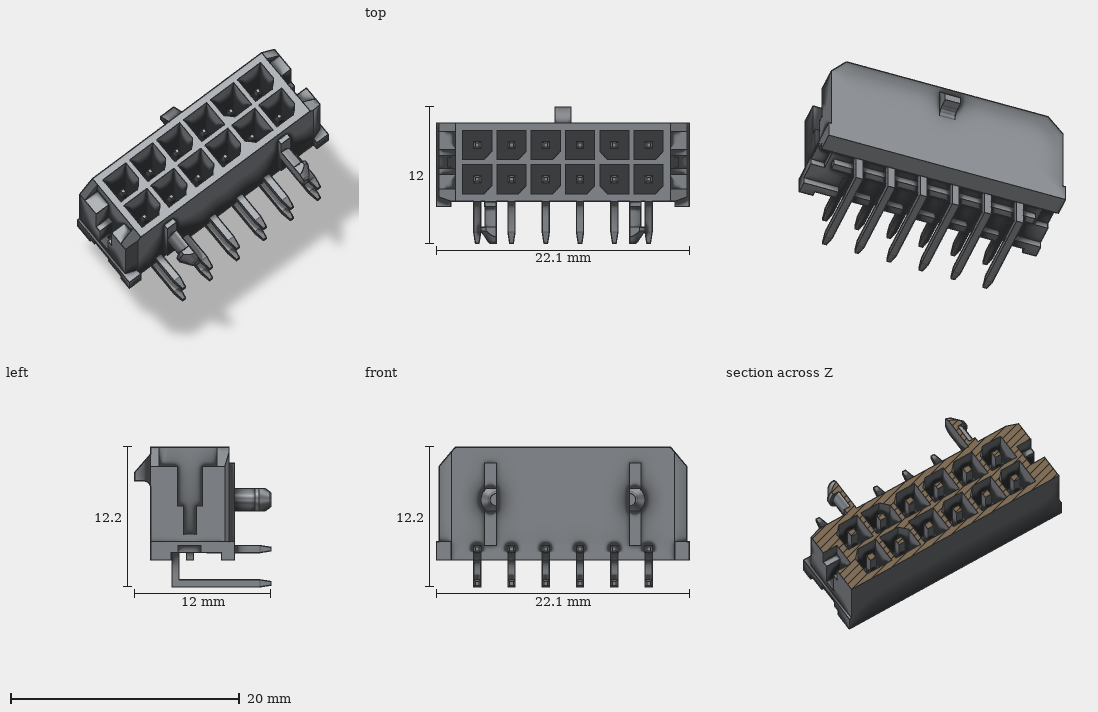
import cadquery as cq


columns = 6
pitch = 3.0
column_xs = [(i - (columns - 1) / 2) * pitch for i in range(columns)]
front_row_y = -pitch / 2
rear_row_y = pitch / 2

core_half_x = 9.42
body_half_x = 10.84
body_half_y = 3.435
body_top = 9.88

shoulder_z = 8.2
rear_plate_y = 2.7
front_plate_y = -2.37
corner_x = 9.77
corner_y = -3.05
wide_slot_width = 2.2
wide_slot_bottom = 4.74
narrow_slot_width = 1.13
narrow_slot_bottom = 2.27

flange_half_x = 11.075
flange_inner_x = 9.8
flange_front_y = -3.9
flange_top = 1.61
foot_height = 0.66
rear_foot_y = 1.65
front_foot_y = -2.75
notch_width = 2.0
notch_center_y = 0.03
notch_top = 1.28
middle_rib_width = 0.62

pocket_outer_x = 10.1
pocket_outer_width = 0.83

cavity_size = 2.55
cavity_key_x = 0.68
cavity_key_y = 0.72
cavity_floor = 2.5
RIGHT, LEFT, PLAIN = 1, -1, 0
rear_keys = [RIGHT, RIGHT, RIGHT, PLAIN, LEFT, RIGHT]
front_keys = [RIGHT, RIGHT, RIGHT, RIGHT, LEFT, RIGHT]

pin_size = 0.64
pin_tip_size = 0.33
pin_taper = 1.0
pin_end_y = -7.11
contact_top = 7.5
upper_tail_z = 0.96
lower_tail_z = upper_tail_z - pitch
rear_leg_y = 1.27

peg_x = 5.83
standoff_width = 1.02
standoff_bottom = 1.27
standoff_top = 8.48
peg_z = 5.28
peg_radius = 1.0
barb_radius = 1.34
barb_start_y = -5.69
barb_cone_y = -6.02
barb_tip_y = -6.96
barb_tip_radius = 0.71
barb_end_radius = 0.54

latch_width = 1.43
latch_tip_y = 4.84
latch_top = 9.29
latch_tip_top = 7.67
latch_bottom = 6.93
latch_fillet = 0.64


def box(x0, x1, y0, y1, z0, z1):
    """Axis-aligned box between the given limits."""
    return cq.Workplane("XY").box(x1 - x0, y1 - y0, z1 - z0, centered=False).translate((x0, y0, z0))


def both_ends(solid):
    """The solid together with its mirror image at the other X end."""
    return solid.union(solid.mirror("YZ"))


def make_ear():
    """Grooved block at the -X end: sloped outer plates, flat shoulders and a stepped slot."""
    outline = [
        (-core_half_x, body_half_y),
        (-body_half_x, body_half_y),
        (-body_half_x, corner_y),
        (-corner_x, -body_half_y),
        (-core_half_x, -body_half_y),
    ]
    ear = cq.Workplane("XY").polyline(outline).close().extrude(body_top)
    slope = (
        cq.Workplane("XZ")
        .moveTo(-core_half_x, body_top)
        .lineTo(-body_half_x, body_top)
        .lineTo(-body_half_x, shoulder_z)
        .close()
        .extrude(body_half_y, both=True)
    )
    ear = ear.cut(slope)
    end_x = (-body_half_x, -core_half_x)
    ear = ear.cut(box(*end_x, front_plate_y, rear_plate_y, shoulder_z, body_top))
    for width, bottom in ((wide_slot_width, wide_slot_bottom), (narrow_slot_width, narrow_slot_bottom)):
        ear = ear.cut(box(*end_x, -width / 2, width / 2, bottom, body_top))
    return ear


def make_floor_pocket():
    """T-shaped blind pocket sunk into the floor of the narrow slot at the -X end."""
    stem_half = pocket_outer_width / 2
    head_half = narrow_slot_width / 2
    depth = (flange_top, narrow_slot_bottom)
    stem = box(-pocket_outer_x, -core_half_x, -stem_half, stem_half, *depth)
    head = box(-flange_inner_x, -core_half_x, -head_half, head_half, *depth)
    return stem.union(head)


def make_cavity(x, y, key):
    """Square contact cavity; a key of RIGHT or LEFT cuts off that front corner."""
    half = cavity_size / 2
    if key == PLAIN:
        outline = [(-half, -half), (half, -half), (half, half), (-half, half)]
    else:
        outline = [
            (-key * half, -half),
            (key * (half - cavity_key_x), -half),
            (key * half, -half + cavity_key_y),
            (key * half, half),
            (-key * half, half),
        ]
    cavity = cq.Workplane("XY").polyline(outline).close().extrude(body_top - cavity_floor)
    return cavity.translate((x, y, cavity_floor))


def make_underside_recess():
    """Channel under the housing, open at both ends, with a slot through the front wall per column."""
    recess = box(-flange_half_x, flange_half_x, front_foot_y, rear_foot_y, 0, foot_height)
    half_rib = middle_rib_width / 2
    recess = recess.cut(box(-core_half_x, core_half_x, -half_rib, half_rib, 0, foot_height))
    for x in column_xs:
        recess = recess.union(
            box(x - pin_size / 2, x + pin_size / 2, -body_half_y, front_foot_y, 0, upper_tail_z)
        )
    return recess


def make_pin(length):
    """Square pin along +Z from the origin, tapered to a small square end."""
    straight = cq.Workplane("XY").rect(pin_size, pin_size).extrude(length - pin_taper)
    taper = (
        straight.faces(">Z")
        .workplane()
        .rect(pin_size, pin_size)
        .workplane(offset=pin_taper)
        .rect(pin_tip_size, pin_tip_size)
        .loft(combine=False)
    )
    return straight.union(taper)


def make_tail(x, start_y, z):
    """Pin lying along -Y from start_y to the common pin end."""
    tail = make_pin(start_y - pin_end_y).rotate((0, 0, 0), (1, 0, 0), 90)
    return tail.translate((x, start_y, z))


def make_column_pins(x):
    """Both contacts of a column with their tails and the rear leg."""
    half = pin_size / 2
    leg_back_y = rear_leg_y + half
    contact = make_pin(contact_top - cavity_floor)
    return [
        contact.translate((x, front_row_y, cavity_floor)),
        contact.translate((x, rear_row_y, cavity_floor)),
        make_tail(x, front_row_y, upper_tail_z),
        make_tail(x, leg_back_y, lower_tail_z),
        box(x - half, x + half, rear_leg_y - half, leg_back_y, lower_tail_z - half, upper_tail_z),
    ]


def make_standoff_and_peg():
    """Rib on the front wall at the -X end with a half-round barbed peg, flat toward the middle."""
    rib = box(
        -peg_x - standoff_width, -peg_x, flange_front_y, -body_half_y, standoff_bottom, standoff_top
    )
    profile = [
        (0, -body_half_y),
        (-peg_radius, -body_half_y),
        (-peg_radius, barb_start_y),
        (-barb_radius, barb_start_y),
        (-barb_radius, barb_cone_y),
        (-barb_tip_radius, barb_tip_y),
        (-barb_end_radius, pin_end_y),
        (0, pin_end_y),
    ]
    peg = cq.Workplane("XY").polyline(profile).close().revolve(360, (0, 0, 0), (0, 1, 0))
    envelope = box(-barb_radius, 0, pin_end_y, -body_half_y, -peg_radius, peg_radius)
    return rib.union(peg.intersect(envelope).translate((-peg_x, 0, peg_z)))


def make_latch():
    """Ramp on the rear wall with a concave fillet under its overhang."""
    diagonal = latch_fillet / 2**0.5
    center_y = body_half_y + latch_fillet
    center_z = latch_bottom - latch_fillet
    return (
        cq.Workplane("YZ")
        .moveTo(body_half_y, latch_top)
        .lineTo(latch_tip_y, latch_tip_top)
        .lineTo(latch_tip_y, latch_bottom)
        .lineTo(center_y, latch_bottom)
        .threePointArc((center_y - diagonal, center_z + diagonal), (body_half_y, center_z))
        .close()
        .extrude(latch_width / 2, both=True)
    )


def make_housing():
    """Plastic body with ears, flanges, cavities, underside recess, pegs and latch."""
    housing = box(-core_half_x, core_half_x, -body_half_y, body_half_y, 0, body_top)
    flange = box(-flange_half_x, -flange_inner_x, flange_front_y, body_half_y, 0, flange_top)
    housing = housing.union(both_ends(make_ear())).union(both_ends(flange))

    notch = box(
        -flange_half_x,
        -flange_inner_x,
        notch_center_y - notch_width / 2,
        notch_center_y + notch_width / 2,
        0,
        notch_top,
    )
    housing = housing.cut(make_underside_recess()).cut(both_ends(notch))
    housing = housing.cut(both_ends(make_floor_pocket()))

    for y, keys in ((front_row_y, front_keys), (rear_row_y, rear_keys)):
        for x, key in zip(column_xs, keys):
            housing = housing.cut(make_cavity(x, y, key))
    return housing.union(both_ends(make_standoff_and_peg())).union(make_latch())


result = make_housing()
for column_x in column_xs:
    for pin in make_column_pins(column_x):
        result = result.union(pin)